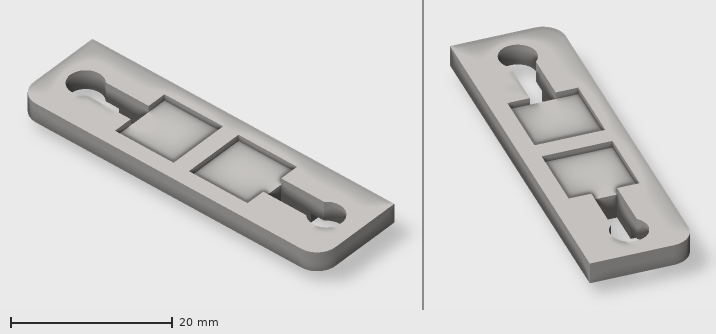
import cadquery as cq

plate_length = 49.5
plate_width = 14.2
plate_thickness = 3.0
corner_radius = 3.0

pad_length = 31.5
pad_width = 8.85
pad_height = 1.5

pocket_length = 9.6
pocket_width = 9.4
pocket_depth = 1.0
web_width = 2.5

slot_width = 3.4
hole_diameter = 5.0
hole_spacing = 39.45

pocket_center = (web_width + pocket_length) / 2
slot_inner_end = web_width / 2 + pocket_length
hole_center = hole_spacing / 2
slot_length = hole_center - slot_inner_end
slot_center = (hole_center + slot_inner_end) / 2
total_height = plate_thickness + pad_height


def make_body():
    """Plate with two rounded front corners and the pad below it."""
    plate = (
        cq.Workplane("XY")
        .rect(plate_length, plate_width)
        .extrude(plate_thickness)
        .edges("|Z and <Y")
        .fillet(corner_radius)
    )
    pad = cq.Workplane("XY").rect(pad_length, pad_width).extrude(-pad_height)
    return plate.union(pad)


def make_pocket(side):
    """Cutter for the shallow pocket on one side of the web."""
    return (
        cq.Workplane("XY", origin=(side * pocket_center, 0, plate_thickness))
        .rect(pocket_length, pocket_width)
        .extrude(-pocket_depth)
    )


def make_keyhole(side):
    """Cutter for a round hole joined to a slot, through plate and pad."""
    base = cq.Workplane("XY", origin=(0, 0, -pad_height))
    hole = base.center(side * hole_center, 0).circle(hole_diameter / 2).extrude(total_height)
    slot = base.center(side * slot_center, 0).rect(slot_length, slot_width).extrude(total_height)
    return hole.union(slot)


result = make_body()
for side in (-1, 1):
    result = result.cut(make_pocket(side))
    result = result.cut(make_keyhole(side))